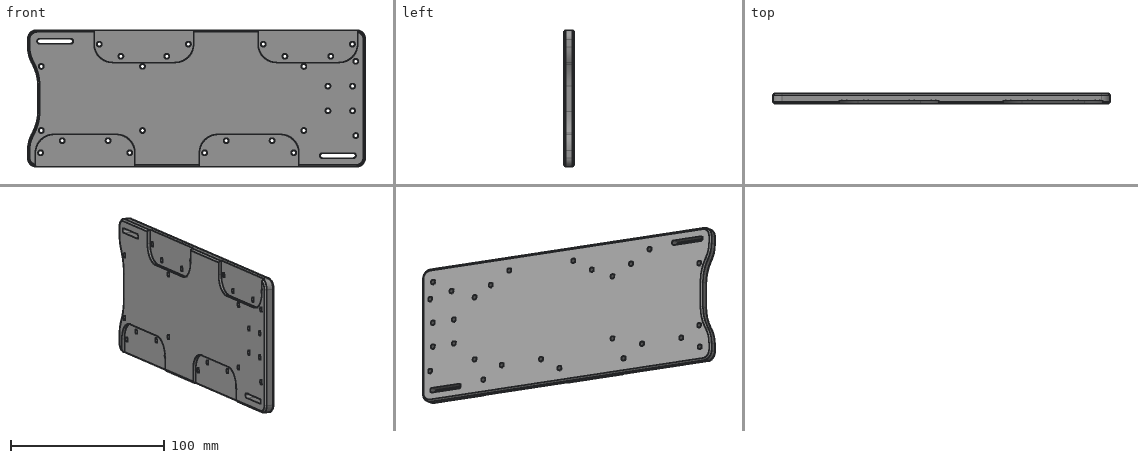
import cadquery as cq
import math

length = 220.0
height = 89.0
thickness = 6.8
corner_radius = 6.0
edge_chamfer = 1.2
half_length = length / 2
half_height = height / 2
front_face = -thickness / 2

recess_depth = 6.5
recess_flat_half = 8.4
recess_inner_radius = 30.0
recess_outer_radius = 21.5
recess_slope = math.radians(28)

pocket_width = 65.0
pocket_height = 21.1
pocket_depth = 2.0
pocket_radius = 12.0
pocket_spacing = 107.0
pocket_row_shift = 19.1

hole_diameter = 3.0
pocket_outer_holes = (29.0, 35.5)
pocket_inner_holes = (15.0, 27.5)
body_hole_columns = (-101.2, -35.2, 70.0)
body_hole_z = 21.0
square_pitch = 16.0
square_center_x = 93.7
end_hole_x = 103.8
end_hole_z = 24.2

slot_length = 23.3
slot_width = 3.0
slot_x = 92.2
slot_edge_distance = 7.3
slot_z = half_height - slot_edge_distance


def front_plane(y):
    """Workplane at depth y with local x = X, local y = Z, extruding toward -Y."""
    return cq.Workplane("XZ", origin=(0, y, 0))


def arc_point(center, radius, angle):
    """Point on a circle, with the angle measured from +X toward +Z."""
    return (center[0] + radius * math.cos(angle), center[1] + radius * math.sin(angle))


def below(point):
    """Mirror image of a point across the horizontal centre line."""
    return (point[0], -point[1])


def plate():
    slope_run = (recess_inner_radius + recess_outer_radius) * (1 - math.cos(recess_slope))
    ramp_length = (recess_depth - slope_run) / math.sin(recess_slope)
    shoulder_z = (
        recess_flat_half
        + (recess_inner_radius + recess_outer_radius) * math.sin(recess_slope)
        + ramp_length * math.cos(recess_slope)
    )

    floor_x = -half_length + recess_depth
    inner_center = (floor_x - recess_inner_radius, recess_flat_half)
    outer_center = (-half_length + recess_outer_radius, shoulder_z)

    floor_end = (floor_x, recess_flat_half)
    inner_mid = arc_point(inner_center, recess_inner_radius, recess_slope / 2)
    ramp_start = arc_point(inner_center, recess_inner_radius, recess_slope)
    ramp_end = arc_point(outer_center, recess_outer_radius, math.pi + recess_slope)
    outer_mid = arc_point(outer_center, recess_outer_radius, math.pi + recess_slope / 2)
    shoulder = (-half_length, shoulder_z)

    corner_x = half_length - corner_radius
    corner_z = half_height - corner_radius
    diagonal = corner_radius * math.sqrt(0.5)

    def corner_mid(side_x, side_z):
        return (side_x * (corner_x + diagonal), side_z * (corner_z + diagonal))

    outline = (
        front_plane(thickness / 2)
        .moveTo(*below(floor_end))
        .lineTo(*floor_end)
        .threePointArc(inner_mid, ramp_start)
        .lineTo(*ramp_end)
        .threePointArc(outer_mid, shoulder)
        .lineTo(-half_length, corner_z)
        .threePointArc(corner_mid(-1, 1), (-corner_x, half_height))
        .lineTo(corner_x, half_height)
        .threePointArc(corner_mid(1, 1), (half_length, corner_z))
        .lineTo(half_length, -corner_z)
        .threePointArc(corner_mid(1, -1), (corner_x, -half_height))
        .lineTo(-corner_x, -half_height)
        .threePointArc(corner_mid(-1, -1), (-half_length, -corner_z))
        .lineTo(*below(shoulder))
        .threePointArc(below(outer_mid), below(ramp_end))
        .lineTo(*below(ramp_start))
        .threePointArc(below(inner_mid), below(floor_end))
        .close()
    )
    return outline.extrude(thickness).faces("<Y or >Y").edges().chamfer(edge_chamfer)


def pocket_places():
    """Centre X and edge side (+1 top, -1 bottom); the bottom row is the top row turned half a turn."""
    places = []
    for side in (1, -1):
        for offset in (-pocket_spacing / 2, pocket_spacing / 2):
            places.append((side * (pocket_row_shift + offset), side))
    return places


def pocket_cutters():
    """Pocket blocks, each running past its long edge so that only the inner corners are round."""
    block_height = 2 * pocket_height
    centers = [(x, side * half_height) for x, side in pocket_places()]
    return (
        front_plane(front_face + pocket_depth)
        .pushPoints(centers)
        .rect(pocket_width, block_height)
        .extrude(pocket_depth)
        .edges("|Y")
        .fillet(pocket_radius)
    )


def hole_points():
    points = []
    for x, side in pocket_places():
        for offset, z in (pocket_outer_holes, pocket_inner_holes):
            points += [(x - offset, side * z), (x + offset, side * z)]
    for side in (1, -1):
        points += [(x, side * body_hole_z) for x in body_hole_columns]
        points.append((end_hole_x, side * end_hole_z))
        for direction in (1, -1):
            points.append((square_center_x + direction * square_pitch / 2, side * square_pitch / 2))
    return points


def hole_cutters():
    return (
        front_plane(thickness / 2)
        .pushPoints(hole_points())
        .circle(hole_diameter / 2)
        .extrude(thickness)
    )


def slot_cutters():
    return (
        front_plane(thickness / 2)
        .pushPoints([(-slot_x, slot_z), (slot_x, -slot_z)])
        .slot2D(slot_length, slot_width)
        .extrude(thickness)
    )


result = plate().cut(pocket_cutters()).cut(hole_cutters()).cut(slot_cutters())